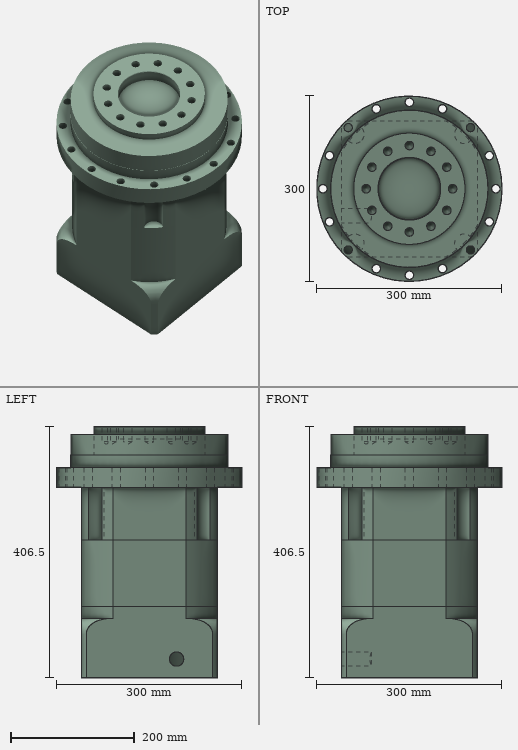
import cadquery as cq
import math


ADAPTER_TOP = 115.5
RING_TOP = 222.8
FLANGE_BOTTOM = 308.0
FLANGE_TOP = 340.2
PILOT_TOP = 360.0
HOUSING_TOP = 394.0
HUB_TOP = 406.5

SQUARE_SIDE = 220.0
BODY_DIAMETER = 249.5
BODY_RADIUS = BODY_DIAMETER / 2

FLANGE_RADIUS = 150.0
CORNER_TOP = 96.5
CORNER_FILLET = FLANGE_RADIUS - BODY_RADIUS
ACCESS_DIAMETER = 23.0
ACCESS_Y = -44.0
ACCESS_Z = 30.5
ACCESS_DEPTH = 48.8
ACCESS_END_RADIUS = 27.5

PILOT_DIAMETER = 255.0
RELIEF_DIAMETER = 254.0
BOLT_CIRCLE_RADIUS = 140.0
BOLT_HOLE_DIAMETER = 13.5
BOLT_COUNT = 16
GROOVE_RADIUS = 15.0
GROOVE_COUNT = 4

HUB_DIAMETER = 180.0
BORE_DIAMETER = 100.0
BORE_DEPTH = 20.0
BORE_CHAMFER = 1.0
THREAD_CIRCLE_RADIUS = 70.0
THREAD_DIAMETER = 14.0
THREAD_DEPTH = 24.5
THREAD_COUNT = 12
DRILL_POINT_ANGLE = 118.0


def disc(radius, bottom, top):
    return cq.Workplane("XY").workplane(offset=bottom).circle(radius).extrude(top - bottom)


def rounded_square(corner_radius, bottom, top):
    """Square column whose corners are turned down to corner_radius."""
    plane = cq.Workplane("XY").workplane(offset=bottom)
    square = plane.rect(SQUARE_SIDE, SQUARE_SIDE).extrude(top - bottom)
    return square.intersect(disc(corner_radius, bottom, top))


def bolt_circle(radius, count, bottom, start_angle=0.0):
    """Points equally spaced round the axis, on a plane at height bottom."""
    return cq.Workplane("XY").workplane(offset=bottom).polarArray(radius, start_angle, 360.0, count)


def access_hole():
    """Horizontal blind hole from the -X face, with an end rounded about a vertical axis."""
    face_x = -SQUARE_SIDE / 2
    bore = (
        cq.Workplane("YZ", origin=(face_x, ACCESS_Y, ACCESS_Z))
        .circle(ACCESS_DIAMETER / 2)
        .extrude(ACCESS_DEPTH)
    )
    straight_end = ACCESS_DEPTH - ACCESS_END_RADIUS
    envelope = (
        cq.Workplane("XY", origin=(face_x, ACCESS_Y, 0))
        .moveTo(0, -ACCESS_END_RADIUS)
        .lineTo(straight_end, -ACCESS_END_RADIUS)
        .threePointArc((ACCESS_DEPTH, 0), (straight_end, ACCESS_END_RADIUS))
        .lineTo(0, ACCESS_END_RADIUS)
        .close()
        .extrude(ADAPTER_TOP)
    )
    return bore.intersect(envelope)


def make_motor_adapter():
    corners = disc(FLANGE_RADIUS, 0, CORNER_TOP).faces(">Z").edges().fillet(CORNER_FILLET)
    base = cq.Workplane("XY").rect(SQUARE_SIDE, SQUARE_SIDE).extrude(CORNER_TOP).intersect(corners)
    neck = rounded_square(BODY_RADIUS, 0, ADAPTER_TOP)
    return base.union(neck).cut(access_hole())


def make_ring_gear():
    return rounded_square(BODY_RADIUS, ADAPTER_TOP, RING_TOP)


def make_flange_housing():
    column = rounded_square(BODY_RADIUS, RING_TOP, FLANGE_BOTTOM)
    grooves = (
        bolt_circle(BODY_RADIUS, GROOVE_COUNT, RING_TOP, 180.0 / GROOVE_COUNT)
        .circle(GROOVE_RADIUS)
        .extrude(FLANGE_BOTTOM - RING_TOP)
    )
    flange = disc(FLANGE_RADIUS, FLANGE_BOTTOM, FLANGE_TOP)
    bolt_holes = (
        bolt_circle(BOLT_CIRCLE_RADIUS, BOLT_COUNT, FLANGE_BOTTOM)
        .circle(BOLT_HOLE_DIAMETER / 2)
        .extrude(FLANGE_TOP - FLANGE_BOTTOM)
    )
    pilot = disc(PILOT_DIAMETER / 2, FLANGE_TOP, PILOT_TOP)
    relief = disc(RELIEF_DIAMETER / 2, PILOT_TOP, HOUSING_TOP)
    hub_seat = disc(HUB_DIAMETER / 2, PILOT_TOP, HOUSING_TOP)
    return column.cut(grooves).union(flange.cut(bolt_holes)).union(pilot).union(relief.cut(hub_seat))


def threaded_hole():
    """Drilled hole on the axis, with a conical drill point below its full depth."""
    radius = THREAD_DIAMETER / 2
    point_depth = radius / math.tan(math.radians(DRILL_POINT_ANGLE / 2))
    full_depth = HUB_TOP - THREAD_DEPTH
    return (
        cq.Workplane("XZ")
        .moveTo(0, HUB_TOP)
        .lineTo(radius, HUB_TOP)
        .lineTo(radius, full_depth)
        .lineTo(0, full_depth - point_depth)
        .close()
        .revolve(360, (0, 0, 0), (0, 1, 0))
    )


def make_output_hub():
    hub = disc(HUB_DIAMETER / 2, PILOT_TOP, HUB_TOP)
    hub = hub.faces(">Z").workplane().hole(BORE_DIAMETER, BORE_DEPTH)
    hub = hub.faces(">Z").edges(cq.selectors.RadiusNthSelector(0)).chamfer(BORE_CHAMFER)
    hole = threaded_hole()
    for index in range(THREAD_COUNT):
        angle = 2 * math.pi * index / THREAD_COUNT
        x = THREAD_CIRCLE_RADIUS * math.cos(angle)
        y = THREAD_CIRCLE_RADIUS * math.sin(angle)
        hub = hub.cut(hole.translate((x, y, 0)))
    return hub


motor_adapter = make_motor_adapter()
ring_gear = make_ring_gear()
flange_housing = make_flange_housing()
output_hub = make_output_hub()

result = cq.Compound.makeCompound(
    [motor_adapter.val(), ring_gear.val(), flange_housing.val(), output_hub.val()]
)